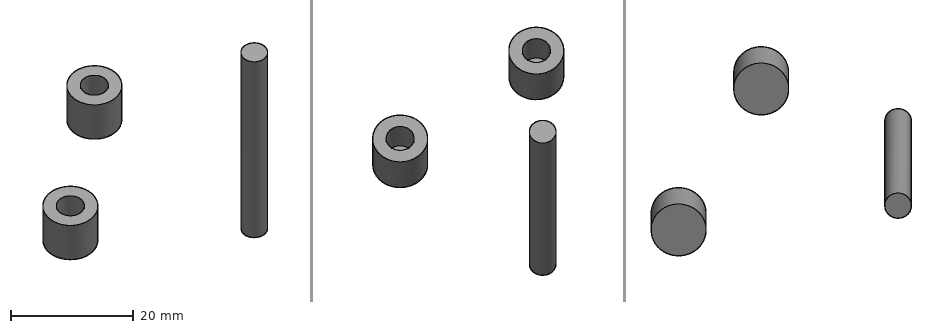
import cadquery as cq

ROD_DIAMETER = 4.4
ROD_HEIGHT = 41.0
ROD_CENTER = (34.25, 11.6)

CUP_DIAMETER = 9.0
CUP_HEIGHT = 8.0
BORE_DIAMETER = 4.6
FLOOR_THICKNESS = 2.0
BORE_DEPTH = CUP_HEIGHT - FLOOR_THICKNESS
CUP_CENTERS = [(0.0, 0.0), (22.7, -16.3)]


def make_rod():
    """Plain upright cylinder standing on the base plane."""
    return cq.Workplane("XY").center(*ROD_CENTER).circle(ROD_DIAMETER / 2).extrude(ROD_HEIGHT)


def make_cup(center):
    """Cylinder with a blind bore sunk from its top face."""
    body = cq.Workplane("XY").center(*center).circle(CUP_DIAMETER / 2).extrude(CUP_HEIGHT)
    return body.faces(">Z").workplane(origin=(*center, CUP_HEIGHT)).hole(BORE_DIAMETER, BORE_DEPTH)


rod = make_rod()
cups = [make_cup(center) for center in CUP_CENTERS]

result = cq.Compound.makeCompound([rod.val(), *[cup.val() for cup in cups]])